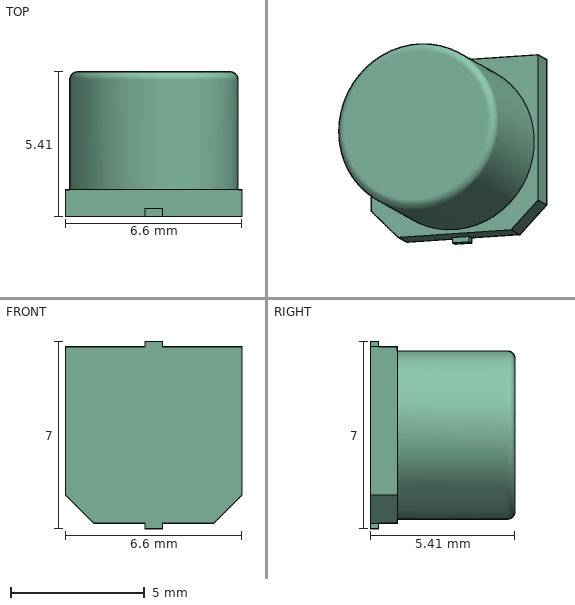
import cadquery as cq

overall_height = 7.0
overall_depth = 5.41
base_width = 6.6
base_thickness = 1.01
corner_cut = 1.065
tab_width = 0.66
tab_thickness = 0.31
can_diameter = 6.3
can_edge_radius = 0.31

can_length = overall_depth - base_thickness


def make_base():
    """Square base plate with its two lower corners cut off."""
    plate = cq.Workplane("XY").box(
        base_width, base_thickness, base_width, centered=(True, False, True)
    )
    return plate.edges("|Y and <Z").chamfer(corner_cut)


def make_terminals():
    """Terminal strip flush with the front face, its ends forming the tabs."""
    return cq.Workplane("XY").box(
        tab_width, tab_thickness, overall_height, centered=(True, False, True)
    )


def make_can():
    """Cylindrical can with a rounded far rim."""
    can = (
        cq.Workplane("XZ", origin=(0, base_thickness, 0))
        .circle(can_diameter / 2)
        .extrude(-can_length)
    )
    return can.faces(">Y").edges().fillet(can_edge_radius)


result = make_base().union(make_terminals()).union(make_can())